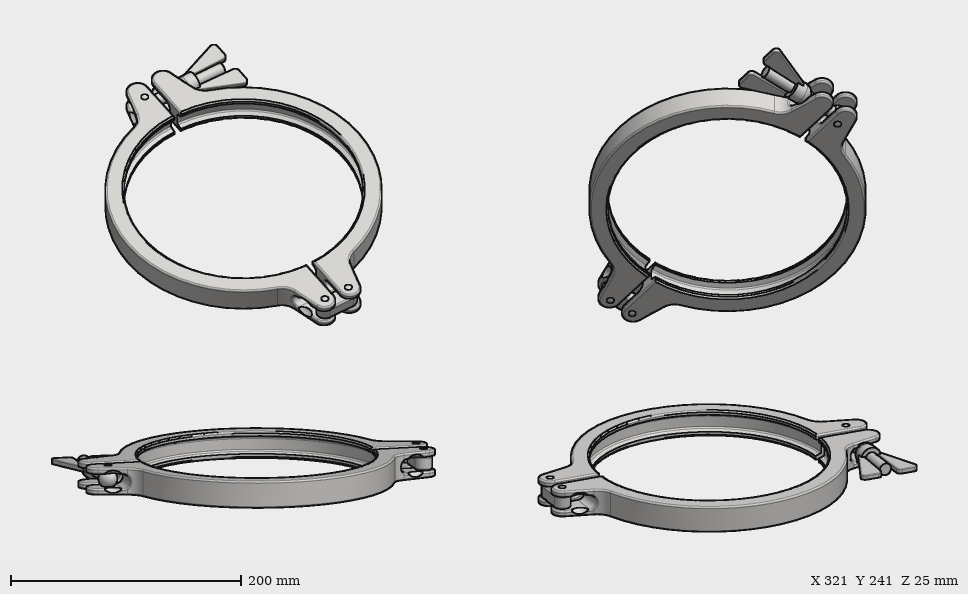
import cadquery as cq
import math

RING_OUTER_R = 120.5
LIP_R = 104.0
WALL_R = 109.5
RING_H = 24.0
LIP_FACE_H = 2.5
LIP_SLOPE = 20
GROOVE_ROOT_R = 1.5
EDGE_R = 1.5
HALF_GAP = 3.2

LUG_TIP_X = 157.0
LUG_TIP_R = 10.0
LUG_SLOPE = 15
LUG_BLEND_R = 16.0

SLOT_H = 12.5
SLOT_END_X = 122.0
SLOT_EDGE_R = 1.5

PIN_R = 3.2
PIN_DOME_H = 0.5
PIN_Y = 12.2
HINGE_X = 147.0
LINK_R = 7.7
LINK_EDGE_R = 1.5

BOLT_X = -137.5
EYE_R = 8.5
ROD_R = 5.5
ROD_END_Y = 68.5

NUT_R = 9.5
NUT_SEAT_Y = 29.5
SEAT_R = 10.5
NUT_TOP_Y = 39.5
WING_TOP_Y = 78.5
WING_T = 4.8
WING_OUTER_X = 28.5
WING_INNER_X = 7.5
WING_ROOT_X = 6.5
WING_ROOT_Y = 33.5
WING_CORNER_R = 4.0
WING_EDGE_R = 0.5

MARGIN = 0.3

HALF_H = RING_H / 2
SLOT_HALF = SLOT_H / 2
TIP_CENTRE_X = LUG_TIP_X - LUG_TIP_R
TIP_CENTRE_Y = HALF_GAP + LUG_TIP_R


def lug_outline():
    """Right-hand lug of the +Y half, running inside the ring wall."""
    slope = math.radians(LUG_SLOPE)
    flank_x = TIP_CENTRE_X + LUG_TIP_R * math.sin(slope)
    flank_y = TIP_CENTRE_Y + LUG_TIP_R * math.cos(slope)
    root_x = WALL_R
    root_y = flank_y + (flank_x - root_x) * math.tan(slope)
    return (
        cq.Workplane("XY", origin=(0, 0, -HALF_H))
        .moveTo(root_x, HALF_GAP)
        .lineTo(TIP_CENTRE_X, HALF_GAP)
        .threePointArc((LUG_TIP_X, TIP_CENTRE_Y), (flank_x, flank_y))
        .lineTo(root_x, root_y)
        .close()
        .extrude(RING_H)
    )


def groove():
    """Ring-shaped groove with sloping sides and rounded roots."""
    lip_z = HALF_H - EDGE_R - LIP_FACE_H
    wall_z = lip_z - (WALL_R - LIP_R) * math.tan(math.radians(LIP_SLOPE))
    return (
        cq.Workplane("XZ")
        .moveTo(0, -lip_z)
        .lineTo(LIP_R, -lip_z)
        .lineTo(WALL_R, -wall_z)
        .lineTo(WALL_R, wall_z)
        .lineTo(LIP_R, lip_z)
        .lineTo(0, lip_z)
        .close()
        .revolve(360, (0, 0, 0), (0, 1, 0))
        .edges(cq.selectors.RadiusNthSelector(-1))
        .fillet(GROOVE_ROOT_R)
    )


def slot():
    """Lug slot with a full-round inner end, running along Y."""
    end_centre_x = SLOT_END_X + SLOT_HALF
    return (
        cq.Workplane("XZ")
        .moveTo(LUG_TIP_X + MARGIN, SLOT_HALF)
        .lineTo(end_centre_x, SLOT_HALF)
        .threePointArc((SLOT_END_X, 0), (end_centre_x, -SLOT_HALF))
        .lineTo(LUG_TIP_X + MARGIN, -SLOT_HALF)
        .close()
        .extrude(RING_OUTER_R, both=True)
    )


def right_lug_box(z_reach):
    """Selects whatever lies wholly in the right-hand lug, within z_reach of mid-height."""
    return cq.selectors.BoxSelector(
        (SLOT_END_X, 0, -z_reach), (LUG_TIP_X + MARGIN, RING_OUTER_R, z_reach), boundingbox=True
    )


def nut_seat():
    """Ball-shaped seat in the outer flank of the right-hand lug."""
    return cq.Workplane("XY", origin=(-BOLT_X, NUT_SEAT_Y, 0)).sphere(SEAT_R)


def clamp_half():
    """Half ring on the +Y side with a slotted lug at each end."""
    half_space = (
        cq.Workplane("XY", origin=(0, HALF_GAP + RING_OUTER_R / 2, 0))
        .rect(2 * RING_OUTER_R, RING_OUTER_R)
        .extrude(HALF_H, both=True)
    )
    ring = cq.Workplane("XY").circle(RING_OUTER_R).extrude(HALF_H, both=True)
    lug = lug_outline()
    body = ring.intersect(half_space).union(lug).union(lug.mirror("YZ"))

    flank_corners = cq.selectors.BoxSelector(
        (-RING_OUTER_R, 2 * TIP_CENTRE_Y, -HALF_H), (RING_OUTER_R, RING_OUTER_R / 2, HALF_H)
    )
    body = body.edges("|Z").edges(flank_corners).fillet(LUG_BLEND_R)

    bore = cq.Workplane("XY").circle(LIP_R).extrude(HALF_H, both=True)
    body = body.cut(bore)
    body = body.faces("|Z").edges().fillet(EDGE_R)
    body = body.cut(groove())

    for _ in range(2):
        body = body.cut(slot())
        body = body.edges(right_lug_box(SLOT_HALF + MARGIN)).fillet(SLOT_EDGE_R)
        body = body.cut(nut_seat())
        body = body.mirror("YZ")
    return body


def pin(x, y):
    """Upright pin with a low domed head above and below the lugs."""
    dome_top = HALF_H + PIN_DOME_H
    mid_r = PIN_R / 2
    sphere_r = (PIN_R**2 + PIN_DOME_H**2) / (2 * PIN_DOME_H)
    mid_z = dome_top - sphere_r + math.sqrt(sphere_r**2 - mid_r**2)
    return (
        cq.Workplane("XZ", origin=(x, y, 0))
        .moveTo(0, -dome_top)
        .threePointArc((mid_r, -mid_z), (PIN_R, -HALF_H))
        .lineTo(PIN_R, HALF_H)
        .threePointArc((mid_r, mid_z), (0, dome_top))
        .close()
        .revolve(360, (0, 0, 0), (0, 1, 0))
    )


def hinge_link():
    """Rounded link bar joining the two hinge pins inside the lug slots."""
    return (
        cq.Workplane("XY", origin=(HINGE_X, 0, 0))
        .slot2D(2 * (PIN_Y + LINK_R), 2 * LINK_R, 90)
        .extrude(SLOT_HALF, both=True)
        .faces("|Z")
        .edges()
        .fillet(LINK_EDGE_R)
        .cut(pin(HINGE_X, PIN_Y))
    )


def upper_clamp():
    """Clamp half on the +Y side with its hinge pin."""
    return clamp_half().union(pin(HINGE_X, PIN_Y))


def lower_clamp():
    """Clamp half on the -Y side with its hinge pin, the fixed link and the bolt pin."""
    body = clamp_half().mirror("XZ")
    body = body.union(hinge_link())
    for pin_x in (HINGE_X, BOLT_X):
        body = body.union(pin(pin_x, -PIN_Y))
    return body


def wing():
    """Flat right-hand wing of the nut, tapering towards the bolt end."""
    return (
        cq.Workplane("XY", origin=(BOLT_X, 0, 0))
        .moveTo(0, WING_ROOT_Y)
        .lineTo(NUT_R, WING_ROOT_Y)
        .lineTo(WING_OUTER_X, WING_TOP_Y)
        .lineTo(WING_INNER_X, WING_TOP_Y)
        .lineTo(WING_ROOT_X, NUT_TOP_Y)
        .lineTo(0, NUT_TOP_Y)
        .close()
        .extrude(WING_T / 2, both=True)
        .edges("|Z and >Y")
        .fillet(WING_CORNER_R)
        .faces("|Z")
        .edges()
        .fillet(WING_EDGE_R)
    )


def wing_bolt():
    """Swing bolt: flattened ball eye, rod, and ball-ended nut with two wings."""
    slot_layer = cq.Workplane("XY").box(2 * LUG_TIP_X, 2 * LUG_TIP_X, SLOT_H)
    eye = cq.Workplane("XY", origin=(BOLT_X, -PIN_Y, 0)).sphere(EYE_R).intersect(slot_layer)
    rod = cq.Workplane("XZ", origin=(BOLT_X, -PIN_Y, 0)).circle(ROD_R).extrude(-(ROD_END_Y + PIN_Y))
    nut_ball = cq.Workplane("XY", origin=(BOLT_X, NUT_SEAT_Y, 0)).sphere(NUT_R)
    nut_barrel = (
        cq.Workplane("XZ", origin=(BOLT_X, NUT_SEAT_Y, 0)).circle(NUT_R).extrude(-(NUT_TOP_Y - NUT_SEAT_Y))
    )
    right_wing = wing()
    left_wing = right_wing.mirror("YZ", (BOLT_X, 0, 0))
    body = eye.union(rod).union(nut_ball).union(nut_barrel)
    body = body.union(right_wing).union(left_wing)
    return body.cut(pin(BOLT_X, -PIN_Y))


result = cq.Compound.makeCompound([
    upper_clamp().val(),
    lower_clamp().val(),
    wing_bolt().val(),
])